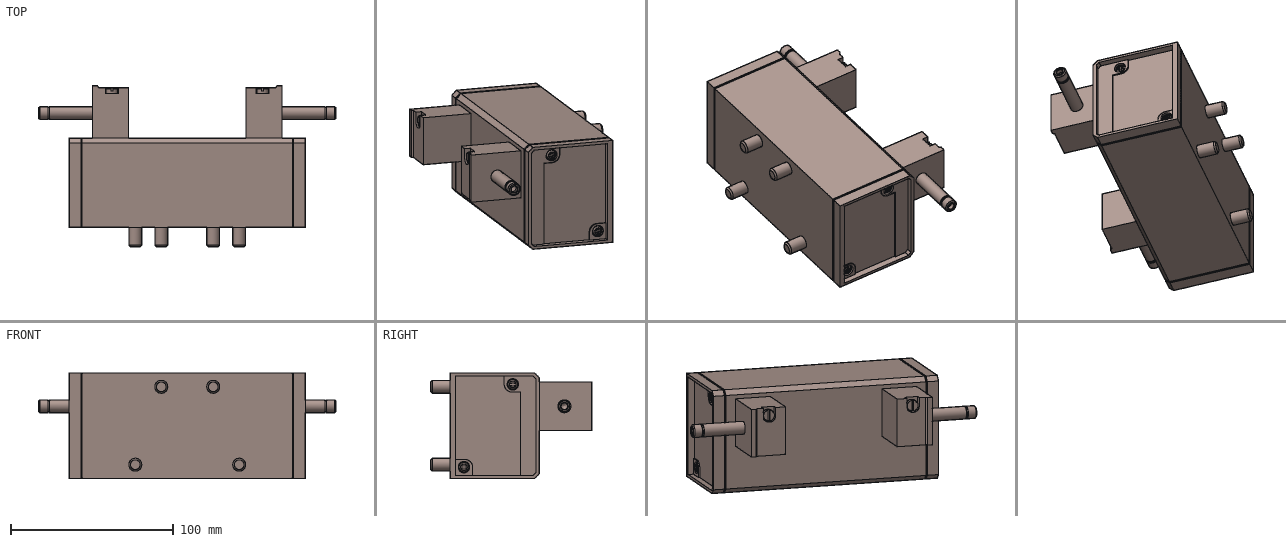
import cadquery as cq
import math


BODY_LENGTH = 145.5
BODY_DEPTH = 55.0
BODY_HEIGHT = 65.0
REAR_CHAMFER = 3.0
CAP_THICKNESS = 7.3
SEAM_WIDTH = 0.7
SEAM_DEPTH = 0.5

RIM_SIDE = 1.8
RIM_REAR = 2.2
RIM_FRONT = 3.3
RECESS_CHAMFER = 1.8
LEDGE_DEPTH = 3.4
PANEL_STEP = 0.8
LEDGE_WIDTH = 11.5
PAD_HEIGHT = 11.8
PAD_RADIUS = 5.0
REAR_PAD_REACH = 21.7
FRONT_PAD_REACH = 13.9

SCREW_FROM_EDGE = 7.0
REAR_SCREW_INSET = 16.4
FRONT_SCREW_INSET = 8.5
COUNTERBORE_DIAMETER = 7.0
COUNTERBORE_DEPTH = 2.0
CAP_HEAD_DIAMETER = 6.0
CAP_HEAD_HEIGHT = 2.0
CAP_HEAD_FLAT_DIAMETER = 4.13
CROSS_LENGTH = 4.0
CROSS_WIDTH = 1.2
CROSS_DEPTH = 1.2

PIN_DIAMETER = 8.0
PIN_LENGTH = 12.0
PIN_CHAMFER = 1.0
PIN_Z = 24.0
UPPER_PIN_X = 16.0
LOWER_PIN_X = 32.0

TOTAL_LENGTH = 183.0
TOTAL_DEPTH = 99.3
SOLENOID_WIDTH = 22.3
SOLENOID_HEIGHT = 30.0
SOLENOID_OUTER_X = 58.4
SOLENOID_Z = 12.0
RIDGE_HEIGHT = 1.2
RIDGE_TOP_WIDTH = 3.0
RIDGE_BASE_WIDTH = 4.0
SOLENOID_REAR = TOTAL_DEPTH - PIN_LENGTH
SOLENOID_LAND = SOLENOID_REAR - RIDGE_HEIGHT
SOLENOID_INNER_X = SOLENOID_OUTER_X - SOLENOID_WIDTH
SOLENOID_TOP = SOLENOID_Z + SOLENOID_HEIGHT / 2

TERMINAL_X = SOLENOID_OUTER_X - 12.0
POCKET_WIDTH = 8.0
POCKET_DEPTH = 3.7
TERMINAL_HEAD_DIAMETER = 7.0
TERMINAL_HEAD_HEIGHT = 2.7
TERMINAL_SLOT_WIDTH = 1.2
TERMINAL_SLOT_DEPTH = 1.1
TERMINAL_Z = SOLENOID_TOP - 5.0

STEM_DIAMETER = 8.0
STEM_CHAMFER = 0.7
STEM_Y = 70.4
STEM_LENGTH = TOTAL_LENGTH / 2 - SOLENOID_OUTER_X
STEM_HEAD_LENGTH = 5.7
STEM_GROOVE_WIDTH = 1.0
STEM_GROOVE_DIAMETER = 7.0
STEM_BORE_DIAMETER = 4.0
STEM_BORE_CHAMFER = 0.4
STEM_BORE_DEPTH = 3.0
DRILL_POINT_ANGLE = 118.0


def box(x_range, y_range, z_range):
    """Axis-aligned block between pairs of limits."""
    limits = (x_range, y_range, z_range)
    sizes = [high - low for low, high in limits]
    corner = [low for low, high in limits]
    return cq.Workplane("XY").box(*sizes, centered=False).translate(tuple(corner))


def disc_x(x_start, y, z, diameter, length):
    """Cylinder running toward +X."""
    return cq.Workplane("YZ", origin=(x_start, y, z)).circle(diameter / 2).extrude(length)


def disc_y(x, y_start, z, diameter, length):
    """Cylinder running toward +Y for a positive length."""
    return cq.Workplane("XZ", origin=(x, y_start, z)).circle(diameter / 2).extrude(-length)


def make_body():
    half_length = BODY_LENGTH / 2
    half_height = BODY_HEIGHT / 2
    body = box((-half_length, half_length), (0, BODY_DEPTH), (-half_height, half_height))
    body = body.edges("|X and >Y").chamfer(REAR_CHAMFER)

    seam_start = -half_length + CAP_THICKNESS
    seam = box(
        (seam_start, seam_start + SEAM_WIDTH),
        (-SEAM_DEPTH, BODY_DEPTH + SEAM_DEPTH),
        (-half_height - SEAM_DEPTH, half_height + SEAM_DEPTH),
    )
    core = box(
        (seam_start, seam_start + SEAM_WIDTH),
        (SEAM_DEPTH, BODY_DEPTH - SEAM_DEPTH),
        (-half_height + SEAM_DEPTH, half_height - SEAM_DEPTH),
    ).edges("|X and >Y").chamfer(REAR_CHAMFER)
    groove = seam.cut(core)
    return body.cut(groove).cut(groove.mirror("YZ"))


def cap_recess():
    """Volume removed from the -X cap: a ledge and two screw pads around a deeper panel."""
    outer_x = -BODY_LENGTH / 2
    ledge_x = outer_x + LEDGE_DEPTH
    panel_x = ledge_x + PANEL_STEP
    half_height = BODY_HEIGHT / 2
    rear_y = BODY_DEPTH - RIM_REAR
    inner_z = half_height - RIM_SIDE
    pad_z = half_height - PAD_HEIGHT

    ledge = box((outer_x, ledge_x), (RIM_FRONT, rear_y), (-inner_z, inner_z))
    ledge = ledge.edges("|X and >Y").chamfer(RECESS_CHAMFER)

    panel_depth = (ledge_x, panel_x)
    panel_rear = BODY_DEPTH - LEDGE_WIDTH
    panel = box(panel_depth, (RIM_FRONT, panel_rear), (-inner_z, inner_z))
    rear_pad = box(panel_depth, (BODY_DEPTH - REAR_PAD_REACH, rear_y), (pad_z, half_height))
    rear_pad = rear_pad.edges("|X and <Y and <Z").fillet(PAD_RADIUS)
    front_pad = box(panel_depth, (0, FRONT_PAD_REACH), (-half_height, -pad_z))
    front_pad = front_pad.edges("|X and >Y and >Z").fillet(PAD_RADIUS)
    return ledge.union(panel.cut(rear_pad).cut(front_pad))


def cap_screw(y, z):
    """Cross-recessed screw head standing on the floor of its counterbore."""
    floor_x = -BODY_LENGTH / 2 + LEDGE_DEPTH + COUNTERBORE_DEPTH
    top_x = floor_x - CAP_HEAD_HEIGHT
    bevel = (CAP_HEAD_DIAMETER - CAP_HEAD_FLAT_DIAMETER) / 2
    head = disc_x(top_x, y, z, CAP_HEAD_DIAMETER, CAP_HEAD_HEIGHT)
    head = head.faces("<X").chamfer(bevel)
    for length_y, length_z in ((CROSS_LENGTH, CROSS_WIDTH), (CROSS_WIDTH, CROSS_LENGTH)):
        arm = box(
            (top_x, top_x + CROSS_DEPTH),
            (y - length_y / 2, y + length_y / 2),
            (z - length_z / 2, z + length_z / 2),
        )
        head = head.cut(arm)
    return head


def finish_cap(part, mirrored):
    """Recess one end cap and seat its two screws."""
    screw_z = BODY_HEIGHT / 2 - SCREW_FROM_EDGE
    screw_places = ((BODY_DEPTH - REAR_SCREW_INSET, screw_z), (FRONT_SCREW_INSET, -screw_z))
    removed = cap_recess()
    screws = cq.Workplane("XY")
    ledge_x = -BODY_LENGTH / 2 + LEDGE_DEPTH
    for y, z in screw_places:
        removed = removed.union(disc_x(ledge_x, y, z, COUNTERBORE_DIAMETER, COUNTERBORE_DEPTH))
        screws = screws.add(cap_screw(y, z))
    screws = screws.combine()
    if mirrored:
        removed = removed.mirror("YZ")
        screws = screws.mirror("YZ")
    return part.cut(removed).union(screws)


def mounting_pin(x, z):
    pin = disc_y(x, -PIN_LENGTH, z, PIN_DIAMETER, PIN_LENGTH)
    return pin.faces("<Y").chamfer(PIN_CHAMFER)


def solenoid_block():
    """Block of the +X solenoid with a raised ridge along its outer rear edge."""
    outline = [
        (SOLENOID_INNER_X, BODY_DEPTH),
        (SOLENOID_OUTER_X, BODY_DEPTH),
        (SOLENOID_OUTER_X, SOLENOID_REAR),
        (SOLENOID_OUTER_X - RIDGE_TOP_WIDTH, SOLENOID_REAR),
        (SOLENOID_OUTER_X - RIDGE_BASE_WIDTH, SOLENOID_LAND),
        (SOLENOID_INNER_X, SOLENOID_LAND),
    ]
    base_z = SOLENOID_Z - SOLENOID_HEIGHT / 2
    block = cq.Workplane("XY", origin=(0, 0, base_z)).polyline(outline).close()
    return block.extrude(SOLENOID_HEIGHT)


def terminal_pocket():
    floor_y = SOLENOID_LAND - POCKET_DEPTH
    half_width = POCKET_WIDTH / 2
    round_end = disc_y(TERMINAL_X, floor_y, TERMINAL_Z, POCKET_WIDTH, POCKET_DEPTH)
    opening = box(
        (TERMINAL_X - half_width, TERMINAL_X + half_width),
        (floor_y, SOLENOID_LAND),
        (TERMINAL_Z, SOLENOID_TOP),
    )
    return round_end.union(opening)


def terminal_screw():
    floor_y = SOLENOID_LAND - POCKET_DEPTH
    top_y = floor_y + TERMINAL_HEAD_HEIGHT
    head_radius = TERMINAL_HEAD_DIAMETER / 2
    head = disc_y(TERMINAL_X, floor_y, TERMINAL_Z, TERMINAL_HEAD_DIAMETER, TERMINAL_HEAD_HEIGHT)
    slot = box(
        (TERMINAL_X - TERMINAL_SLOT_WIDTH / 2, TERMINAL_X + TERMINAL_SLOT_WIDTH / 2),
        (top_y - TERMINAL_SLOT_DEPTH, top_y),
        (TERMINAL_Z - head_radius, TERMINAL_Z + head_radius),
    )
    return head.cut(slot)


def override_stem():
    """Stem turned about an X axis: grooved neck, bevelled tip and a drilled blind bore."""
    radius = STEM_DIAMETER / 2
    groove_radius = STEM_GROOVE_DIAMETER / 2
    bore_radius = STEM_BORE_DIAMETER / 2
    head_start = STEM_LENGTH - STEM_HEAD_LENGTH
    groove_start = head_start - STEM_GROOVE_WIDTH
    bore_floor = STEM_LENGTH - STEM_BORE_DEPTH
    point_length = bore_radius / math.tan(math.radians(DRILL_POINT_ANGLE / 2))
    half_section = [
        (0, 0),
        (0, radius),
        (groove_start, radius),
        (groove_start, groove_radius),
        (head_start, groove_radius),
        (head_start, radius),
        (STEM_LENGTH - STEM_CHAMFER, radius),
        (STEM_LENGTH, radius - STEM_CHAMFER),
        (STEM_LENGTH, bore_radius + STEM_BORE_CHAMFER),
        (STEM_LENGTH - STEM_BORE_CHAMFER, bore_radius),
        (bore_floor, bore_radius),
        (bore_floor - point_length, 0),
    ]
    stem = cq.Workplane("XY").polyline(half_section).close().revolve(360, (0, 0), (1, 0))
    return stem.translate((SOLENOID_OUTER_X, STEM_Y, SOLENOID_Z))


def make_solenoid():
    block = solenoid_block().cut(terminal_pocket())
    return block.union(terminal_screw()).union(override_stem())


result = make_body()
for is_mirrored in (False, True):
    result = finish_cap(result, is_mirrored)

for side in (-1, 1):
    result = result.union(mounting_pin(side * UPPER_PIN_X, PIN_Z))
    result = result.union(mounting_pin(side * LOWER_PIN_X, -PIN_Z))

solenoid = make_solenoid()
result = result.union(solenoid).union(solenoid.mirror("YZ"))